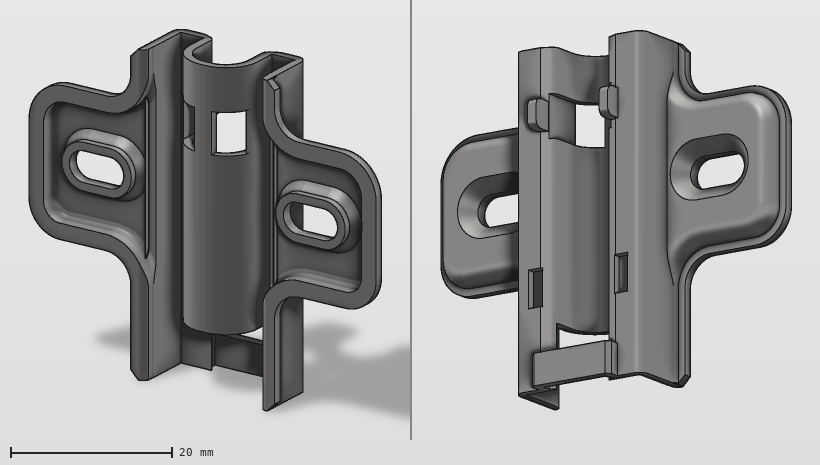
import cadquery as cq
import math

width = 52.0
height = 44.0
depth = 11.3

sheet = 1.15
channel_half = 9.65
channel_depth = 9.0
channel_back_radius = 1.45
foot_radius = 1.05
channel_inner_half = channel_half - sheet
channel_inner_depth = channel_depth - sheet

trough_half = 5.1
trough_wall = 1.25
trough_flat_half = 0.4
trough_floor = 1.1
lip_run = 1.8
lip_drop = 0.85
lip_radius = 1.05
trough_bottom = 8.5
trough_inner_half = trough_half - trough_wall
bridge_gap_half = 3.95

flange_thickness = 1.2
body_half = 10.75
body_chamfer = 1.15
wing_bottom = 16.15
wing_top = 36.75
upper_corner_radius = 5.5
lower_corner_radius = 4.65
upper_neck_radius = 3.65
lower_neck_radius = 3.8

pan_inset = 1.0
pan_height = 3.55
pan_radius = 2.05
recess_inset = pan_inset + flange_thickness
recess_depth = pan_height - flange_thickness
recess_radius = pan_radius - flange_thickness

fin_thickness = channel_half - channel_inner_half - foot_radius
fin_front = 1.5

slot_x = 16.0
slot_z = 26.5
slot_length = 8.1
slot_height = 4.2
collar_front = 0.2
collar_rim = 1.15
collar_slope = 1.1
collar_slope_height = 1.15
countersink_front = 1.7
countersink_angle = 45

window_inner = 1.3
window_outer = 4.7
window_bottom = 32.25
window_top = 38.0

tab_inner = 4.75
tab_outer = 6.05
tab_bottom = 33.2
tab_top = 37.0
tab_radius = 1.0

box_slot_inner = 5.4
box_slot_outer = 7.5
box_slot_bottom = 10.65
box_slot_top = 15.65

bridge_inner = 4.65
bridge_outer = 5.95
bridge_front = 9.6
bridge_back = 10.85
bridge_top = 4.2
bridge_chamfer = 0.55

over = 5.2


def block(x0, x1, y0, y1, z0, z1):
    """Box given by its limits along each axis."""
    return cq.Workplane("XY").box(x1 - x0, y1 - y0, z1 - z0, centered=False).translate((x0, y0, z0))


def both_sides(body):
    """Body joined with its mirror image across X = 0."""
    return body.union(body.mirror("YZ"))


def sheet_outline(z0, z1):
    """Right half of the cross outline in the XZ plane, closed along X = 0."""
    edge = width / 2
    return (
        cq.Workplane("XZ")
        .moveTo(0, z0)
        .lineTo(body_half, z0)
        .lineTo(body_half, wing_bottom - lower_neck_radius)
        .radiusArc((body_half + lower_neck_radius, wing_bottom), lower_neck_radius)
        .lineTo(edge - lower_corner_radius, wing_bottom)
        .radiusArc((edge, wing_bottom + lower_corner_radius), -lower_corner_radius)
        .lineTo(edge, wing_top - upper_corner_radius)
        .radiusArc((edge - upper_corner_radius, wing_top), -upper_corner_radius)
        .lineTo(body_half + upper_neck_radius, wing_top)
        .radiusArc((body_half, wing_top + upper_neck_radius), upper_neck_radius)
        .lineTo(body_half, z1)
        .lineTo(0, z1)
        .close()
    )


def inset_block(inset, thickness):
    """Cross outline moved inward and extruded to the back, running past both ends of the body."""
    return sheet_outline(-over, height + over).offset2D(-inset).extrude(-thickness)


def slot_prism(grow, y0, y1, taper=0):
    """Slot shape grown on all sides, running from y0 back to y1."""
    return (
        cq.Workplane("XZ", origin=(slot_x, y0, slot_z))
        .slot2D(slot_length + 2 * grow, slot_height + 2 * grow)
        .extrude(y0 - y1, taper=taper)
    )


def foot_bend():
    """Sharp inner corner removed where the sheet bends from a channel wall into the flange."""
    x = channel_inner_half
    corner = block(x, x + foot_radius, 0, foot_radius, 0, height)
    bend = cq.Workplane("XY").center(x + foot_radius, foot_radius).circle(foot_radius).extrude(height)
    return corner.cut(bend)


def collar():
    """Straight rim just behind the flange front, then a slope spreading to the recess floor."""
    slope_start = recess_depth - collar_slope_height
    slope_angle = math.degrees(math.atan2(collar_slope, collar_slope_height))
    rim = slot_prism(collar_rim, collar_front, slope_start)
    return rim.union(slot_prism(collar_rim, slope_start, recess_depth, -slope_angle))


def countersink():
    """Flare from the slot to the back of the pan."""
    return slot_prism(0, countersink_front, pan_height, -countersink_angle)


def pressed_block(inset, thickness, radius):
    """Inset outline with its back rim rounded."""
    return inset_block(inset, thickness).faces(">Y").edges().fillet(radius)


def end_chamfers():
    """Corner wedges at the top and bottom ends of the body edge."""
    x = body_half - body_chamfer
    wedge = (
        cq.Workplane("XZ")
        .polyline([(x, 0), (body_half, 0), (body_half, body_chamfer)])
        .close()
        .extrude(-pan_height)
    )
    return wedge.union(wedge.mirror("XY").translate((0, 0, height)))


def right_wing():
    """Flange, pan and channel side wall, pressed hollow from the front."""
    flange = sheet_outline(0, height).extrude(-flange_thickness)
    pan = pressed_block(pan_inset, pan_height, pan_radius)
    wing = flange.union(pan.intersect(block(0, width, 0, depth, 0, height)))
    wing = wing.cut(end_chamfers())
    wing = wing.cut(block(0, channel_half, 0, depth, 0, height))
    wing = wing.union(block(channel_inner_half, channel_half, 0, channel_depth, 0, height))

    beyond_wall = block(channel_inner_half, width, 0, depth, 0, height)
    wing = wing.cut(pressed_block(recess_inset, recess_depth, recess_radius).intersect(beyond_wall))
    wing = wing.cut(foot_bend())

    fin = block(channel_half - fin_thickness, channel_half, fin_front, recess_depth, 0, height)
    wing = wing.union(fin.intersect(inset_block(recess_inset, recess_depth)))
    return wing.union(collar()).cut(slot_prism(0, 0, depth)).cut(countersink())


def trough_profile(half, front):
    """Solid U section with a narrow flat at the bottom, open to the back."""
    radius = half - trough_flat_half
    return (
        cq.Workplane("XY")
        .moveTo(-trough_flat_half, front)
        .lineTo(trough_flat_half, front)
        .radiusArc((half, front + radius), -radius)
        .lineTo(half, channel_depth)
        .lineTo(-half, channel_depth)
        .lineTo(-half, front + radius)
        .radiusArc((-trough_flat_half, front), -radius)
        .close()
    )


def trough_opening():
    """Inside of the trough, flaring out to the channel backs over sloped lips with a rounded foot."""
    lip_foot = channel_depth - lip_drop
    lip = (
        cq.Workplane("XY")
        .polyline([
            (trough_inner_half, lip_foot),
            (trough_inner_half + lip_run, channel_depth),
            (trough_inner_half, channel_depth),
        ])
        .close()
        .extrude(height)
    )
    opening = trough_profile(trough_inner_half, trough_floor).extrude(height).union(both_sides(lip))
    foot_edges = cq.selectors.BoxSelector(
        (-trough_half, lip_foot - lip_radius, 0), (trough_half, lip_foot + lip_radius, height)
    )
    return opening.edges("|Z").edges(foot_edges).fillet(lip_radius)


def channel():
    """Back of the channel boxes and the trough hanging between them."""
    backs = block(-channel_half, channel_half, channel_inner_depth, channel_depth, 0, height)
    return backs.union(trough_profile(trough_half, 0).extrude(height)).cut(trough_opening())


def bridge():
    """Strap behind the open lower end of the trough, joining both channel boxes."""
    strap = block(-bridge_outer, bridge_outer, channel_inner_depth, bridge_back, 0, bridge_top)
    strap = strap.edges("|Z and >Y").chamfer(bridge_chamfer)
    return strap.cut(block(-bridge_inner, bridge_inner, 0, bridge_front, 0, bridge_top))


def stop_tab():
    """Right tab standing up behind the channel back, with rounded top and bottom corners."""
    tab = block(tab_inner, tab_outer, channel_inner_depth, depth, tab_bottom, tab_top)
    return tab.edges("|X and >Y").fillet(tab_radius)


result = channel().union(both_sides(right_wing()))
result = result.edges("|Z and >Y").edges(">X or <X").fillet(channel_back_radius)

result = result.cut(block(-trough_half, trough_half, 0, channel_inner_depth, 0, trough_bottom))
result = result.cut(block(-bridge_gap_half, bridge_gap_half, 0, depth, 0, trough_bottom))

window = block(window_inner, window_outer, 0, channel_depth, window_bottom, window_top)
box_slot = block(
    box_slot_inner, box_slot_outer, channel_inner_depth, channel_depth, box_slot_bottom, box_slot_top
)
result = result.cut(both_sides(window)).cut(both_sides(box_slot))

result = result.union(both_sides(stop_tab())).union(bridge())